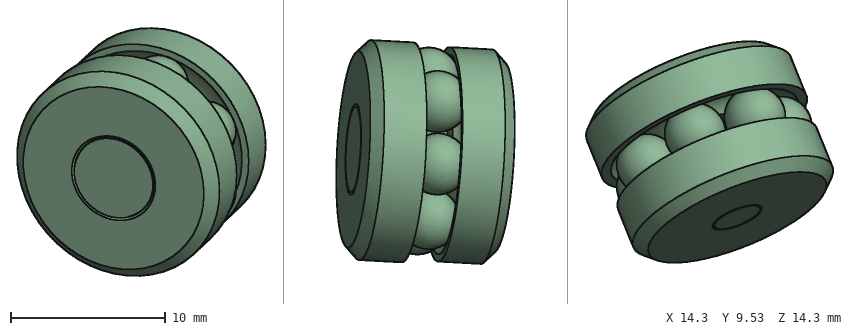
import cadquery as cq
import math

total_width = 9.53
race_gap = 2.39
front_race_diameter = 14.29
rear_race_diameter = 13.93
rim_chamfer = 0.77

ball_count = 7
ball_diameter = 3.97
pitch_radius = 4.9
groove_radius = ball_diameter / 2

shank_diameter = 3.17
rear_bore_diameter = 3.43
head_diameter = 5.56
head_thickness = 1.15
recess_chamfer = 0.17

half_width = total_width / 2
half_gap = race_gap / 2
head_front_y = -half_width
head_back_y = head_front_y + head_thickness


def cylinder(diameter, start_y, end_y):
    """Solid cylinder on the Y axis from start_y up to end_y."""
    return (
        cq.Workplane("XZ", origin=(0, end_y, 0))
        .circle(diameter / 2)
        .extrude(end_y - start_y)
    )


def groove_ring():
    """Ring swept by a ball travelling around the pitch circle."""
    return cq.Workplane(
        cq.Solid.makeTorus(pitch_radius, groove_radius, cq.Vector(0, 0, 0), cq.Vector(0, 1, 0))
    )


def make_front_race():
    """Larger race, with a chamfered recess that seats the screw head."""
    race = cylinder(front_race_diameter, -half_width, -half_gap)
    race = race.faces("<Y").edges().chamfer(rim_chamfer)
    race = race.cut(cylinder(shank_diameter, -half_width, -half_gap))
    race = race.cut(cylinder(head_diameter, head_front_y, head_back_y))
    recess_mouth = race.faces("<Y").edges(cq.selectors.RadiusNthSelector(0))
    race = recess_mouth.chamfer(recess_chamfer)
    return race.cut(groove_ring())


def make_rear_race():
    """Smaller race, with a clearance bore around the shank."""
    race = cylinder(rear_race_diameter, half_gap, half_width)
    race = race.faces(">Y").edges().chamfer(rim_chamfer)
    race = race.cut(cylinder(rear_bore_diameter, half_gap, half_width))
    return race.cut(groove_ring())


def make_screw():
    """Round-headed screw along the axis, ending flush with the rear race."""
    head = cylinder(head_diameter, head_front_y, head_back_y)
    shank = cylinder(shank_diameter, head_back_y, half_width)
    return head.union(shank)


def make_ball(angle):
    """One ball on the pitch circle, at an angle in degrees from +X toward +Z."""
    x = pitch_radius * math.cos(math.radians(angle))
    z = pitch_radius * math.sin(math.radians(angle))
    return cq.Workplane("XY").sphere(ball_diameter / 2).translate((x, 0, z))


front_race = make_front_race()
rear_race = make_rear_race()
screw = make_screw()

balls = []
for index in range(ball_count):
    balls.append(make_ball(180 + index * 360 / ball_count))

result = cq.Compound.makeCompound(
    [front_race.val(), rear_race.val(), screw.val(), *[ball.val() for ball in balls]]
)